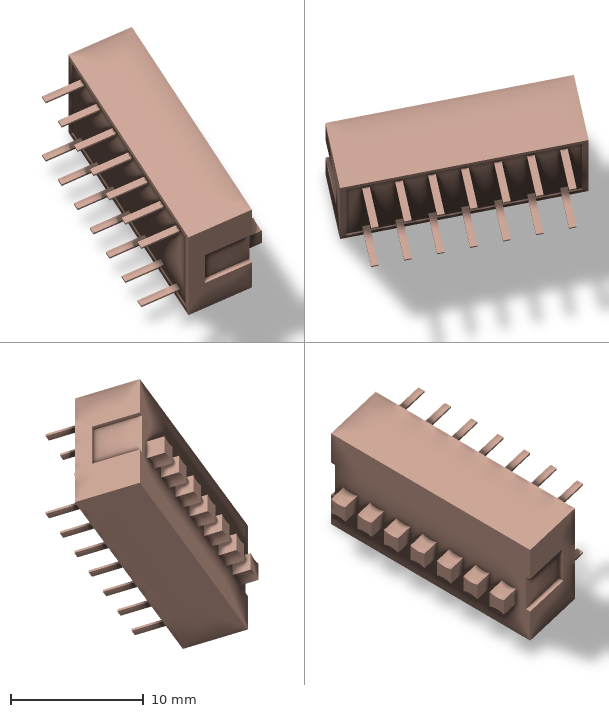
import cadquery as cq

HOUSING_LENGTH = 19.14
HOUSING_DEPTH = 5.42
HOUSING_HEIGHT = 10.16

RECESS_RIM = 0.5
RECESS_DEPTH = 0.13

POCKET_HEIGHT = 3.62
POCKET_LENGTH = 4.0
POCKET_DEPTH = 0.4

COLUMN_COUNT = 7
PITCH = 2.54
COLUMN_OFFSET = 0.07

PIN_WIDTH = 0.58
PIN_THICKNESS = 0.2
PIN_PROTRUSION = 3.18
PIN_ROW_SPACING = 3 * PITCH

KNOB_WIDTH = 1.36
KNOB_HEIGHT = 1.62
KNOB_PROTRUSION = 1.5
KNOB_Z = -0.96
SCOOP_DEPTH = 0.15
SCOOP_RADIUS = (KNOB_WIDTH**2 / 4 + SCOOP_DEPTH**2) / (2 * SCOOP_DEPTH)

COLUMN_POSITIONS = [COLUMN_OFFSET + (i - (COLUMN_COUNT - 1) / 2) * PITCH for i in range(COLUMN_COUNT)]
FRONT_Y = -HOUSING_DEPTH
RECESS_FLOOR_Y = FRONT_Y + RECESS_DEPTH


def block(size_x, y_start, y_end, size_z):
    """Box centred in X and Z that spans y_start to y_end."""
    size_y = y_end - y_start
    return cq.Workplane("XY").box(size_x, size_y, size_z).translate((0, y_start + size_y / 2, 0))


def make_housing():
    housing = block(HOUSING_LENGTH, FRONT_Y, 0, HOUSING_HEIGHT)
    recess_length = HOUSING_LENGTH - 2 * RECESS_RIM
    recess_height = HOUSING_HEIGHT - 2 * RECESS_RIM
    housing = housing.cut(block(recess_length, FRONT_Y, RECESS_FLOOR_Y, recess_height))
    pocket = block(2 * POCKET_DEPTH, -POCKET_LENGTH, 0, POCKET_HEIGHT)
    for end_x in (-HOUSING_LENGTH / 2, HOUSING_LENGTH / 2):
        housing = housing.cut(pocket.translate((end_x, 0, 0)))
    return housing


def make_pin(x, z):
    pin = block(PIN_WIDTH, FRONT_Y - PIN_PROTRUSION, RECESS_FLOOR_Y, PIN_THICKNESS)
    return pin.translate((x, 0, z))


def make_knob(x):
    """Block with shallow cylindrical scoops along its upper and lower sides."""
    knob = block(KNOB_WIDTH, 0, KNOB_PROTRUSION, KNOB_HEIGHT)
    scoop_offset = KNOB_HEIGHT / 2 - SCOOP_DEPTH + SCOOP_RADIUS
    scoop = cq.Workplane("XZ").circle(SCOOP_RADIUS).extrude(-KNOB_PROTRUSION)
    for side in (-1, 1):
        knob = knob.cut(scoop.translate((0, 0, side * scoop_offset)))
    return knob.translate((x, 0, KNOB_Z))


result = make_housing()
for column_x in COLUMN_POSITIONS:
    for row_z in (-PIN_ROW_SPACING / 2, PIN_ROW_SPACING / 2):
        result = result.union(make_pin(column_x, row_z))
    result = result.union(make_knob(column_x))